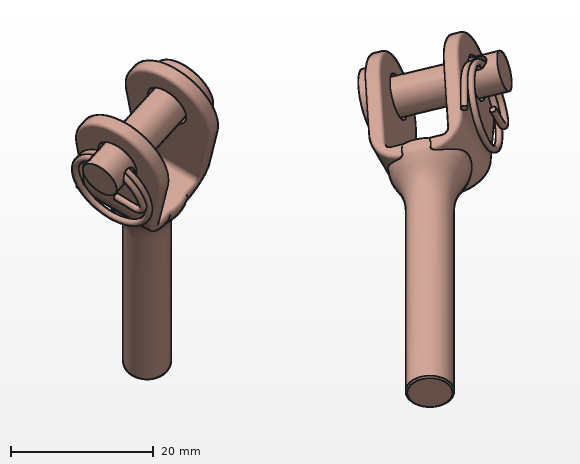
import cadquery as cq
import math


total_height = 62.0
eye_radius = 7.5
fork_gap = 9.4
arm_thickness = 2.3
floor_z = 42.0
inside_corner_radius = 0.9
outside_corner_radius = 5.0
side_taper = 9.0
fork_edge_radius = 0.55
eye_hole_diameter = 6.7

eye_z = total_height - eye_radius
fork_width = fork_gap + 2 * arm_thickness
fork_bottom_z = floor_z - arm_thickness

stem_radius = 3.4
stem_end_chamfer = 0.25
flare_start_z = 33.35
flare_middle_z = 38.55
neck_radius = 9.3

pin_diameter = 5.9
pin_z = 55.5
pin_tip_y = -11.15
head_diameter = 10.0
head_thickness = 1.85
ring_hole_diameter = 2.5
ring_hole_y = -8.3
ring_hole_z = 55.6

wire_diameter = 1.0
ring_radius = 6.2
ring_z = 49.9
coil_gap = 0.03
coil_angle = 521.0
leg_length = 4.95
level_tail_angle = 630.0
hook_radius = 1.4
hook_tail_length = 3.35

coil_pitch = wire_diameter + coil_gap


def u_block(width, bottom_z, corner_radius):
    """Block centred on the stem axis that reaches above the fork, with two rounded bottom corners."""
    return (
        cq.Workplane("YZ", origin=(0, 0, total_height))
        .rect(width, 2 * (total_height - bottom_z))
        .extrude(eye_radius, both=True)
        .edges("|X and <Z")
        .fillet(corner_radius)
    )


def make_fork_head():
    """U-shaped fork with round-ended, tapered arms and rounded outline edges."""
    u_outside = u_block(fork_width, fork_bottom_z, outside_corner_radius)
    u_inside = u_block(fork_gap, floor_z, inside_corner_radius)

    taper = math.radians(side_taper)
    tangent_x = eye_radius * math.cos(taper)
    tangent_z = eye_z - eye_radius * math.sin(taper)
    bottom_x = tangent_x - (tangent_z - fork_bottom_z) * math.tan(taper)
    outline = (
        cq.Workplane("XZ")
        .moveTo(-bottom_x, fork_bottom_z)
        .lineTo(-tangent_x, tangent_z)
        .threePointArc((0, total_height), (tangent_x, tangent_z))
        .lineTo(bottom_x, fork_bottom_z)
        .close()
        .extrude(fork_width, both=True)
    )
    return u_outside.cut(u_inside).intersect(outline).edges("not(|X)").fillet(fork_edge_radius)


def make_stem():
    """Round stem whose top flares out through an S-shaped neck into a collar under the fork floor."""
    flare_slope = math.asin((flare_middle_z - flare_start_z) / neck_radius)
    middle_radius = stem_radius + neck_radius * (1 - math.cos(flare_slope))
    rim_z = floor_z - fork_edge_radius
    shoulder_radius = (rim_z - flare_middle_z) / math.sin(flare_slope)
    collar_radius = middle_radius + shoulder_radius * (1 - math.cos(flare_slope))
    return (
        cq.Workplane("XZ")
        .lineTo(stem_radius - stem_end_chamfer, 0)
        .lineTo(stem_radius, stem_end_chamfer)
        .lineTo(stem_radius, flare_start_z)
        .radiusArc((middle_radius, flare_middle_z), neck_radius)
        .radiusArc((collar_radius, rim_z), -shoulder_radius)
        .radiusArc((collar_radius - fork_edge_radius, floor_z), -fork_edge_radius)
        .lineTo(0, floor_z)
        .close()
        .revolve(360, (0, 0, 0), (0, 1, 0))
    )


def cylinder_along_y(diameter, y_start, y_end):
    """Cylinder on the pin axis between two Y positions."""
    return (
        cq.Workplane("XZ", origin=(0, y_start, pin_z))
        .circle(diameter / 2)
        .extrude(y_start - y_end)
    )


def make_fork():
    """Fork head and stem in one piece, with the pin hole through both arms."""
    eye_hole = cylinder_along_y(eye_hole_diameter, fork_width, -fork_width)
    return make_fork_head().union(make_stem()).cut(eye_hole)


def make_pin():
    """Clevis pin with a flat head against the +Y arm and a cross hole for the split ring."""
    head_y = fork_width / 2
    head = cylinder_along_y(head_diameter, head_y + head_thickness, head_y)
    shank = cylinder_along_y(pin_diameter, head_y, pin_tip_y)
    ring_hole = (
        cq.Workplane("YZ", origin=(0, ring_hole_y, ring_hole_z))
        .circle(ring_hole_diameter / 2)
        .extrude(pin_diameter, both=True)
    )
    return head.union(shank).cut(ring_hole)


def wire_section():
    """Round cross-section of the ring wire at the start of the coil."""
    return cq.Workplane("XZ").center(ring_radius, 0).circle(wire_diameter / 2)


def make_ring():
    """Coiled wire with a straight leg at its start and an inward hook at its end.

    Local frame: x points to the leg side, y points down, z is the coil axis away from the fork.
    """
    coil_height = coil_pitch * coil_angle / 360

    leg = wire_section().extrude(-leg_length)

    helix = cq.Wire.makeHelix(coil_pitch, coil_height, ring_radius, lefthand=True)
    coil = wire_section().sweep(cq.Workplane(helix), isFrenet=True)

    bend_angle = level_tail_angle - coil_angle
    bend_center_x = ring_radius - hook_radius
    bend = (
        wire_section()
        .revolve(bend_angle, (-hook_radius, 0, 0), (-hook_radius, -1, 0))
    )
    tail = (
        wire_section()
        .extrude(hook_tail_length)
        .rotate((bend_center_x, 0, 0), (bend_center_x, 0, 1), -bend_angle)
    )
    hook = bend.union(tail).rotate((0, 0, 0), (0, 0, 1), -coil_angle).translate((0, 0, coil_height))

    wire = coil.union(leg).union(hook)
    start_y = -(fork_width + wire_diameter) / 2
    ring_plane = cq.Plane(origin=(0, start_y, ring_z), xDir=(-1, 0, 0), normal=(0, -1, 0))
    return cq.Workplane(wire.solids().val().moved(cq.Location(ring_plane)))


fork = make_fork()
pin = make_pin()
ring = make_ring()

result = cq.Compound.makeCompound([fork.solids().val(), pin.solids().val(), ring.val()])